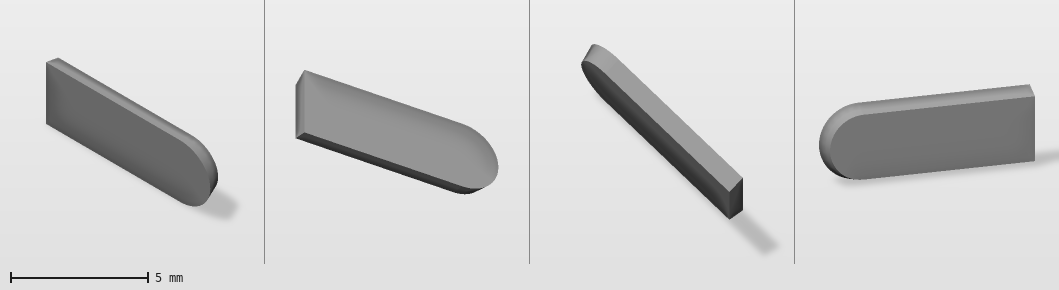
import cadquery as cq
import math

overall_length = 8.02
front_height = 2.98
thickness = 0.68
flank_angle = 18.0

front_radius = front_height / 2
straight_length = overall_length - front_radius
flank_inset = thickness * math.tan(math.radians(flank_angle))
back_radius = front_radius - flank_inset


def straight_body():
    """Bar with a trapezoidal cross-section, running along X from a square end."""
    return (
        cq.Workplane("YZ")
        .moveTo(0, -front_radius)
        .lineTo(thickness, -back_radius)
        .lineTo(thickness, back_radius)
        .lineTo(0, front_radius)
        .close()
        .extrude(straight_length)
    )


def rounded_end():
    """Half of a cone frustum about Y, tangent to the sloped flanks of the bar."""
    half_turn = 180
    return (
        cq.Workplane("XY")
        .moveTo(0, 0)
        .lineTo(front_radius, 0)
        .lineTo(back_radius, thickness)
        .lineTo(0, thickness)
        .close()
        .revolve(half_turn, (0, 0, 0), (0, 1, 0))
        .rotate((0, 0, 0), (0, 1, 0), -half_turn / 2)
        .translate((straight_length, 0, 0))
    )


result = straight_body().union(rounded_end())